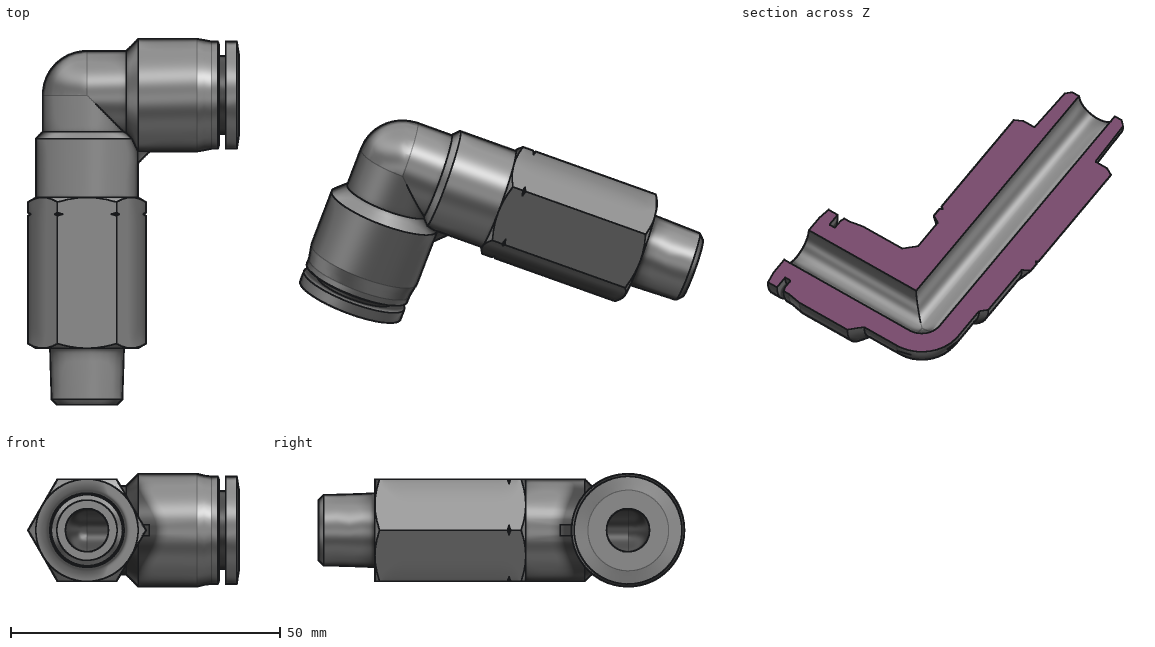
import cadquery as cq
import math


elbow_radius = 8.25
bore_radius = 4.0

collar_radius = 9.5
shoulder_start = 6.8
shoulder_end = shoulder_start + (collar_radius - elbow_radius)
hex_start = 19.0
hex_length = 28.0
hex_end = hex_start + hex_length

hex_sides = 6
hex_across_flats = 19.0
hex_flat_radius = hex_across_flats / 2
hex_corner_radius = hex_flat_radius / math.cos(math.pi / hex_sides)
hex_chamfer_angle = math.radians(30)
hex_chamfer_height = (hex_corner_radius - hex_flat_radius) * math.tan(hex_chamfer_angle)
notch_offset = 3.1
notch_half_width = 0.3
notch_floor_radius = 10.5
notch_depth = hex_corner_radius - notch_floor_radius

thread_length = 10.5
thread_end = hex_end + thread_length
thread_root_radius = 6.9
thread_taper = 1 / 16
thread_chamfer = 1.0
thread_tip_radius = thread_root_radius - thread_taper / 2 * (thread_length - thread_chamfer)

sleeve_radius = 10.5
sleeve_cone_start = 7.3
sleeve_cone_end = sleeve_cone_start + (sleeve_radius - elbow_radius)
sleeve_taper_start = 20.4
sleeve_taper_end = 23.1
sleeve_lip_radius = 10.0
sleeve_lip_end = 24.3
sleeve_end = 24.6
sleeve_face_radius = 9.2

collet_neck_radius = 7.3
collet_flange_radius = 10.0
collet_flange_start = 25.75
collet_rim_end = 27.85
collet_end = 28.25
collet_face_radius = 7.5

rib_thickness = 2.0
rib_leg = 2.1
rib_overlap = 2.0


def revolve_stem(profile):
    """Revolve (radius, distance along -Y) points about the stem axis."""
    points = [(radius, -distance) for radius, distance in profile]
    return cq.Workplane("XY").polyline(points).close().revolve(360, (0, 0, 0), (0, 1, 0))


def revolve_sleeve(profile):
    """Revolve (distance along +X, radius) points about the sleeve axis."""
    return cq.Workplane("XY").polyline(profile).close().revolve(360, (0, 0, 0), (1, 0, 0))


def make_stem_body():
    return revolve_stem([
        (0, 0),
        (elbow_radius, 0),
        (elbow_radius, shoulder_start),
        (collar_radius, shoulder_end),
        (collar_radius, hex_start),
        (0, hex_start),
    ])


def make_hexagon():
    """Hexagon with corners on the X axis, chamfered at both ends and notched at its corners."""
    prism = (
        cq.Workplane("XZ", origin=(0, -hex_start, 0))
        .polygon(hex_sides, 2 * hex_corner_radius)
        .extrude(hex_length)
    )
    chamfered_envelope = revolve_stem([
        (0, hex_start),
        (hex_flat_radius, hex_start),
        (hex_corner_radius, hex_start + hex_chamfer_height),
        (hex_corner_radius, hex_end - hex_chamfer_height),
        (hex_flat_radius, hex_end),
        (0, hex_end),
    ])
    notch_position = hex_start + notch_offset
    notch_ring = revolve_stem([
        (notch_floor_radius, notch_position),
        (notch_floor_radius + 2 * notch_depth, notch_position - 2 * notch_half_width),
        (notch_floor_radius + 2 * notch_depth, notch_position + 2 * notch_half_width),
    ])
    return prism.intersect(chamfered_envelope).cut(notch_ring)


def make_thread():
    return revolve_stem([
        (0, hex_end),
        (thread_root_radius, hex_end),
        (thread_tip_radius, thread_end - thread_chamfer),
        (thread_tip_radius - thread_chamfer, thread_end),
        (0, thread_end),
    ])


def make_sleeve():
    return revolve_sleeve([
        (0, 0),
        (0, elbow_radius),
        (sleeve_cone_start, elbow_radius),
        (sleeve_cone_end, sleeve_radius),
        (sleeve_taper_start, sleeve_radius),
        (sleeve_taper_end, sleeve_lip_radius),
        (sleeve_lip_end, sleeve_lip_radius),
        (sleeve_end, sleeve_face_radius),
        (sleeve_end, collet_neck_radius),
        (collet_flange_start, collet_neck_radius),
        (collet_flange_start, collet_flange_radius),
        (collet_rim_end, collet_flange_radius),
        (collet_end, collet_face_radius),
        (collet_end, 0),
    ])


def make_rib():
    """45 degree gusset between the collar and the underside of the sleeve."""
    corner_x = collar_radius
    corner_y = -sleeve_radius
    return (
        cq.Workplane("XY")
        .moveTo(corner_x - rib_overlap, corner_y + rib_overlap)
        .lineTo(corner_x + rib_leg, corner_y + rib_overlap)
        .lineTo(corner_x + rib_leg, corner_y)
        .lineTo(corner_x, corner_y - rib_leg)
        .lineTo(corner_x - rib_overlap, corner_y - rib_leg)
        .close()
        .extrude(rib_thickness / 2, both=True)
    )


def make_bore():
    """Passage through the stem and sleeve, rounded by a sphere where they meet."""
    stem_bore = cq.Workplane("XZ").circle(bore_radius).extrude(thread_end)
    sleeve_bore = cq.Workplane("YZ").circle(bore_radius).extrude(collet_end)
    return stem_bore.union(sleeve_bore).union(cq.Workplane("XY").sphere(bore_radius))


elbow = cq.Workplane("XY").sphere(elbow_radius)
outside = (
    make_stem_body()
    .union(elbow)
    .union(make_sleeve())
    .union(make_hexagon())
    .union(make_thread())
    .union(make_rib())
)
result = outside.cut(make_bore())